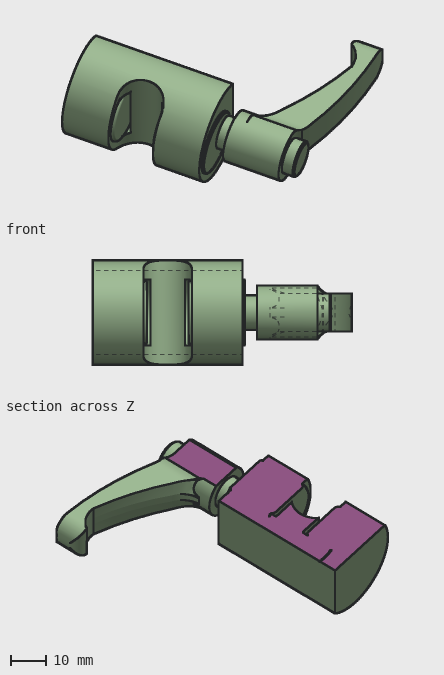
import cadquery as cq
import math

overall_width = 59.7

body_diameter = 30.0
body_radius = body_diameter / 2
body_length = 42.85
flat_y = 9.0

slot_x = body_length / 2
slot_radius = 6.95
slot_centre_y = -8.9

plug_radius = 9.5
plug_y = -3.85
bore_depth = 16.5
plug_depth = 15.5
plug_lip = 0.7
plug_lip_chamfer = 0.3
plug_edge_round = 0.95

axis_y = 0.45
stem_radius = 10.0 / 2
hub_radius = 7.8
hub_start = 46.9
hub_end = 64.2
cap_radius = 5.4
cap_end = 68.0
cap_chamfer = 0.45

lever_half_thickness = 5.5
crown_half_width = 1.25
lever_tip_x = 74.0
lever_tip_y = overall_width - body_radius
tip_round_y = lever_tip_y - lever_half_thickness
lever_root_x = 50.7
hub_top_y = axis_y + hub_radius
hook_x = 65.85
hook_start = (66.7, 39.8)
hook_curve = (68.9, 36.5)
hook_end = (69.2, 33.2)
hook_lip_low_y = 40.25
hook_lip_high_y = 41.15
tip_curve = (66.8, 43.65)
tip_flat_start_x = 69.2
tip_corner_radius = 1.0
back_start_y = 40.3
back_curve = (72.1, 25.8)
back_end_x = 66.75
heel_start = (65.65, 5.9)
heel_curve = (64.6, 4.45)
heel_end_y = 2.7

flare_start_y = 1.1
flare_bend_y = 4.6
flare_bend_z = 7.0
flare_bulge = (2.8, 7.55)
flare_top_y = 8.6


def x_cylinder(radius, start, end, y):
    """Cylinder along X between two X positions."""
    return cq.Workplane("YZ", origin=(start, y, 0)).circle(radius).extrude(end - start)


def make_body():
    body = x_cylinder(body_radius, 0, body_length, 0)
    beyond_flat = cq.Workplane("XY").box(
        body_length, body_radius, 2 * body_radius, centered=(False, False, True)
    )
    body = body.cut(beyond_flat.translate((0, flat_y, 0)))

    slot_floor = cq.Workplane("XY").center(slot_x, slot_centre_y).circle(slot_radius)
    slot_mouth = (
        cq.Workplane("XY")
        .center(slot_x, slot_centre_y - body_radius / 2)
        .rect(2 * slot_radius, body_radius)
    )
    for outline in (slot_floor, slot_mouth):
        body = body.cut(outline.extrude(body_radius, both=True))

    body = body.cut(x_cylinder(plug_radius, 0, bore_depth, plug_y))
    return body.cut(x_cylinder(plug_radius, body_length - bore_depth, body_length, plug_y))


def make_plugs():
    near = x_cylinder(plug_radius, 0, plug_depth, plug_y)
    near = near.faces(">X").edges().fillet(plug_edge_round)
    far = x_cylinder(plug_radius, body_length - plug_depth, body_length + plug_lip, plug_y)
    far = far.faces("<X").edges().fillet(plug_edge_round)
    far = far.faces(">X").edges().chamfer(plug_lip_chamfer)
    return near.union(far)


def make_hub():
    stem = x_cylinder(stem_radius, body_length, hub_start, axis_y)
    hub = x_cylinder(hub_radius, hub_start, hub_end, axis_y)
    cap = x_cylinder(cap_radius, hub_end, cap_end, axis_y)
    cap = cap.faces(">X").edges().chamfer(cap_chamfer)
    return stem.union(hub).union(cap)


def lever_outline(plane, root_y, root_mid, arm_start, arm_mid):
    """Closed lever outline; the arguments set the root and arm of its -X edge."""
    return (
        plane.moveTo(lever_root_x, flare_start_y)
        .lineTo(lever_root_x, root_y)
        .threePointArc(root_mid, arm_start)
        .threePointArc(arm_mid, hook_end)
        .threePointArc(hook_curve, hook_start)
        .lineTo(hook_x, hook_lip_low_y)
        .lineTo(hook_x, hook_lip_high_y)
        .threePointArc(tip_curve, (tip_flat_start_x, lever_tip_y))
        .lineTo(lever_tip_x - tip_corner_radius, lever_tip_y)
        .radiusArc((lever_tip_x, lever_tip_y - tip_corner_radius), tip_corner_radius)
        .lineTo(lever_tip_x, back_start_y)
        .threePointArc(back_curve, (back_end_x, flare_top_y))
        .lineTo(*heel_start)
        .threePointArc(heel_curve, (hub_end, heel_end_y))
        .lineTo(hub_end, flare_start_y)
        .close()
    )


def crown_outline(plane):
    """Outline along the crown strip, running out on top of the hub."""
    root_mid = (54.9, 9.6)
    arm_start = (57.3, 12.3)
    arm_mid = (64.5, 23.2)
    return lever_outline(plane, hub_top_y, root_mid, arm_start, arm_mid)


def side_outline(plane):
    """Outline along the lever sides, running out at the flare bend."""
    root_mid = (54.3, 7.1)
    arm_start = (57.4, 10.95)
    arm_mid = (64.3, 22.2)
    return lever_outline(plane, flare_bend_y, root_mid, arm_start, arm_mid)


def make_arm():
    """Flat crown strip in the middle with ruled slopes out to both sides."""
    arm = crown_outline(cq.Workplane("XY")).extrude(crown_half_width, both=True)
    slope_width = lever_half_thickness - crown_half_width
    crown_edge = crown_outline(cq.Workplane("XY", origin=(0, 0, crown_half_width)))
    slope = side_outline(crown_edge.workplane(offset=slope_width)).loft(ruled=True)
    arm = arm.union(slope).union(slope.mirror("XY"))

    tip_round = (
        cq.Workplane("YZ")
        .moveTo(0, -lever_half_thickness)
        .lineTo(tip_round_y, -lever_half_thickness)
        .threePointArc((lever_tip_y, 0), (tip_round_y, lever_half_thickness))
        .lineTo(0, lever_half_thickness)
        .close()
        .extrude(lever_tip_x)
    )
    return arm.intersect(tip_round)


def make_flare():
    """Hollow-sided root that widens from the lever sides to the hub."""
    start_z = math.sqrt(hub_radius**2 - (flare_start_y - axis_y) ** 2)

    rise = flare_top_y - flare_bend_y
    drop = flare_bend_z - lever_half_thickness
    radius = (rise**2 + drop**2) / (2 * drop)
    half_angle = math.asin(rise / radius) / 2
    mid_y = flare_top_y - radius * math.sin(half_angle)
    mid_z = lever_half_thickness + radius * (1 - math.cos(half_angle))

    half_section = (
        cq.Workplane("YZ")
        .moveTo(flare_start_y, 0)
        .lineTo(flare_start_y, start_z)
        .threePointArc(flare_bulge, (flare_bend_y, flare_bend_z))
        .threePointArc((mid_y, mid_z), (flare_top_y, lever_half_thickness))
        .lineTo(flare_top_y, 0)
        .close()
        .extrude(lever_tip_x)
    )
    outline = side_outline(cq.Workplane("XY")).extrude(hub_radius, both=True)
    return half_section.union(half_section.mirror("XY")).intersect(outline)


result = make_body().union(make_plugs()).union(make_hub()).union(make_arm()).union(make_flare())